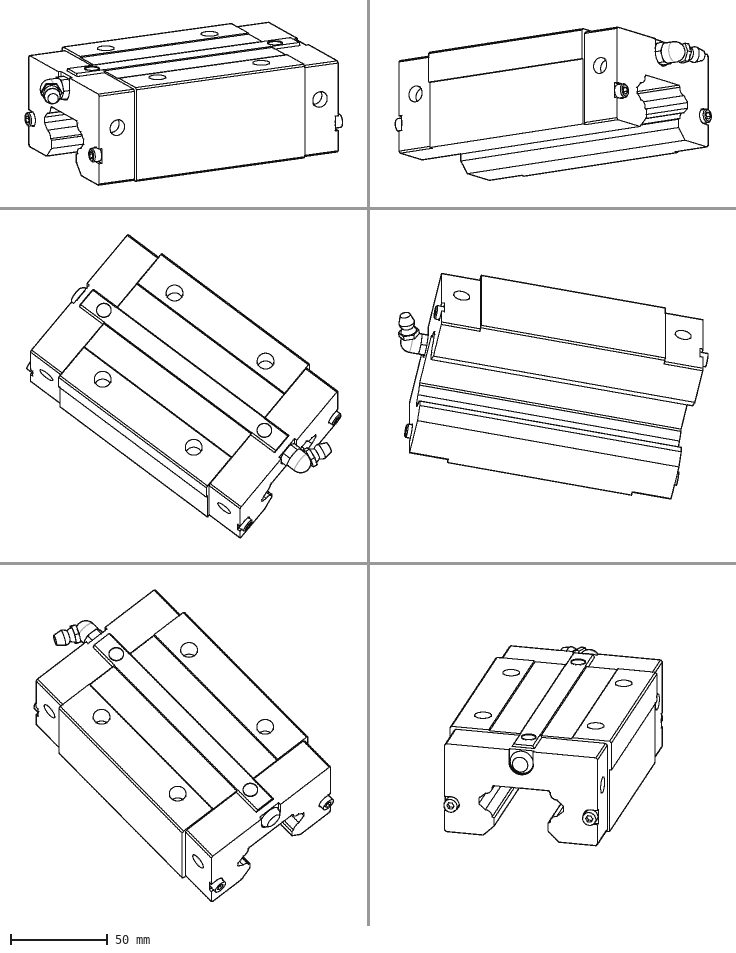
import cadquery as cq
import math


block_width = 86.0
block_length = 97.2
block_height = 50.5
edge_chamfer = 1.0
relief_depth = 1.0
relief_top = 34.5
land_inner_x = 22.3
recess_depth = 0.5
ridge_half_width = 5.2
recess_slope = 0.5

cap_width = 81.7
cap_height = 49.1
cap_end_y = 69.0
seal_thickness = 4.7
cap_ridge_base_half_width = 6.0
cap_ridge_top_half_width = 5.0

slot_top_z = 28.2
slot_top_half_width = 14.6
slot_lip_half_width = 15.4
slot_lip_chamfer = 1.0
groove_mid_z = 18.9
groove_half_width = 22.5
groove_flat_half_height = 1.5
shelf_offset = 4.5
bulge_radius = 3.6
slot_lower_half_width = 14.3
slot_lower_top_z = 10.0
slot_mouth_z = 5.7
slot_mouth_half_width = 20.1

mount_spacing = 60.0
mount_diameter = 8.7
mount_depth = 12.6
drill_angle = 118
side_port_diameter = 8.3
side_port_y = 58.5
side_port_z = 29.9
side_port_depth = 6.3
top_port_diameter = 7.5
top_port_y = 52.9
top_port_depth = 0.5

screw_x = 37.0
screw_z = 15.7
screw_diameter = 7.1
screw_end_y = 71.7
screw_chamfer = 0.6
screw_seat_diameter = 7.9
screw_seat_depth = 1.5
socket_across_corners = 3.8
socket_depth = 2.4

lube_z = 42.2
lube_pocket_radius = 6.5
lube_pocket_depth = 1.4
lube_floor_y = cap_end_y - lube_pocket_depth
plug_radius = 6.1
plug_height = 3.5
plug_top_radius = 4.1
plug_crown_radius = 5.7
elbow_hex_across_corners = 12.1
elbow_hex_length = 4.4
elbow_radius = 5.3
elbow_length = 4.7
arm_angle = 22
collar_start = 4.5
collar_end = 7.0
collar_across_corners = 10.7
neck_root_radius = 4.1
neck_end_radius = 3.0
neck_end = 9.6
head_radius = 4.1
head_shoulder = 10.7
head_shoulder_radius = 3.8
head_cone_start = 12.5
tip_radius = 2.7
tip_end = 16.8


def along_y(outline, y_start, y_end):
    """Extrude an XZ outline, given as a function of a workplane, between two Y positions."""
    plane = cq.Workplane("XZ", origin=(0, y_end, 0))
    return outline(plane).close().extrude(y_end - y_start)


def block_outline(plane):
    half = block_width / 2
    recess_z = block_height - recess_depth
    return plane.polyline([
        (-half + relief_depth, 0),
        (half - edge_chamfer, 0),
        (half, edge_chamfer),
        (half, block_height - edge_chamfer),
        (half - edge_chamfer, block_height),
        (land_inner_x, block_height),
        (land_inner_x - recess_slope, recess_z),
        (ridge_half_width + recess_slope, recess_z),
        (ridge_half_width, block_height),
        (-ridge_half_width, block_height),
        (-ridge_half_width - recess_slope, recess_z),
        (-land_inner_x + recess_slope, recess_z),
        (-land_inner_x, block_height),
        (-half + edge_chamfer, block_height),
        (-half, block_height - edge_chamfer),
        (-half, relief_top),
        (-half + relief_depth, relief_top),
    ])


def cap_ridge_outline(plane):
    return plane.polyline([
        (-cap_ridge_base_half_width, cap_height),
        (cap_ridge_base_half_width, cap_height),
        (cap_ridge_top_half_width, block_height),
        (-cap_ridge_top_half_width, block_height),
    ])


def make_body():
    """Carriage block with an end cap and ridge on each end."""
    block = along_y(block_outline, -block_length / 2, block_length / 2)
    caps = cq.Workplane("XY").box(cap_width, 2 * cap_end_y, cap_height, centered=(True, True, False))
    caps = caps.edges("|Y").chamfer(edge_chamfer)
    ridge_end = cap_end_y - seal_thickness
    ridge = along_y(cap_ridge_outline, -ridge_end, ridge_end)
    gap = cq.Workplane("XY").box(block_width, block_length, 2 * block_height)
    return block.union(caps).union(ridge.cut(gap))


def make_slot():
    """Rail slot along the whole length, from its +X half and the mirror image."""
    shelf_top = groove_mid_z + shelf_offset
    shelf_bottom = groove_mid_z - shelf_offset
    bulge_x = slot_lip_half_width + bulge_radius
    bulge_mid_x = bulge_x - bulge_radius * math.sqrt(0.5)
    bulge_mid_rise = bulge_radius * (1 - math.sqrt(0.5))
    half = (
        cq.Workplane("XZ", origin=(0, cap_end_y, 0))
        .moveTo(0, 0)
        .lineTo(slot_mouth_half_width, 0)
        .lineTo(slot_lower_half_width, slot_mouth_z)
        .lineTo(slot_lower_half_width, slot_lower_top_z)
        .lineTo(slot_lip_half_width, shelf_bottom - bulge_radius)
        .threePointArc((bulge_mid_x, shelf_bottom - bulge_mid_rise), (bulge_x, shelf_bottom))
        .lineTo(groove_half_width, groove_mid_z - groove_flat_half_height)
        .lineTo(groove_half_width, groove_mid_z + groove_flat_half_height)
        .lineTo(bulge_x, shelf_top)
        .threePointArc((bulge_mid_x, shelf_top + bulge_mid_rise),
                       (slot_lip_half_width, shelf_top + bulge_radius))
        .lineTo(slot_lip_half_width, slot_top_z - slot_lip_chamfer)
        .lineTo(slot_top_half_width, slot_top_z)
        .lineTo(0, slot_top_z)
        .close()
        .extrude(2 * cap_end_y)
    )
    return with_mirror(half, "YZ")


def make_mount_hole():
    """Blind drilled hole with a conical bottom, its mouth centred on the mounting face."""
    radius = mount_diameter / 2
    cone_depth = radius / math.tan(math.radians(drill_angle / 2))
    return (
        cq.Workplane("XZ", origin=(0, 0, block_height))
        .polyline([(0, 0), (radius, 0), (radius, -mount_depth), (0, -mount_depth - cone_depth)])
        .close()
        .revolve(360, (0, 0), (0, 1))
    )


def make_cap_ports():
    """Shallow round recesses on the ridges and blind ports in both cap sides."""
    ports = cq.Workplane("XY")
    for end in (1, -1):
        top = cq.Workplane("XY", origin=(0, end * top_port_y, block_height - top_port_depth))
        ports = ports.add(top.circle(top_port_diameter / 2).extrude(top_port_depth))
        for side in (1, -1):
            face = cq.Workplane("YZ", origin=(side * cap_width / 2, end * side_port_y, side_port_z))
            ports = ports.add(face.circle(side_port_diameter / 2).extrude(-side * side_port_depth))
    return ports


def make_screw_seat():
    """Round counterbore at +X on the rear cap, open to the cap side."""
    plane = cq.Workplane("XZ", origin=(screw_x, cap_end_y, screw_z))
    side_run = cap_width / 2 - screw_x
    seat = plane.circle(screw_seat_diameter / 2).extrude(screw_seat_depth)
    opening = plane.center(side_run / 2, 0).rect(side_run, screw_seat_diameter).extrude(screw_seat_depth)
    return seat.union(opening)


def make_screw():
    """Sharp-edged socket head at +X on the rear cap."""
    head_length = screw_end_y - cap_end_y + screw_seat_depth
    plane = cq.Workplane("XZ", origin=(screw_x, screw_end_y, screw_z))
    head = plane.circle(screw_diameter / 2).extrude(head_length)
    return head.cut(plane.polygon(6, socket_across_corners).extrude(socket_depth))


def make_lube_pocket():
    """Round-bottomed pocket in the rear face, open to the cap top."""
    plane = cq.Workplane("XZ", origin=(0, cap_end_y, lube_z))
    rise = cap_height - lube_z
    bottom = plane.circle(lube_pocket_radius).extrude(lube_pocket_depth)
    opening = plane.center(0, rise / 2).rect(2 * lube_pocket_radius, rise).extrude(lube_pocket_depth)
    return bottom.union(opening)


def make_plug():
    """Flat-topped button with a rounded edge on the rear pocket floor."""
    return (
        cq.Workplane("XY", origin=(0, lube_floor_y, lube_z))
        .lineTo(plug_radius, 0)
        .threePointArc((plug_crown_radius, plug_height / 2), (plug_top_radius, plug_height))
        .lineTo(0, plug_height)
        .close()
        .revolve(360, (0, 0), (0, 1))
    )


def make_nipple():
    """Hexagon, round elbow and ball-ended nipple leaning toward +X."""
    hexagon_end_y = -lube_floor_y - elbow_hex_length
    elbow_y = hexagon_end_y - elbow_length
    hexagon = (
        cq.Workplane("XZ", origin=(0, -lube_floor_y, lube_z))
        .polygon(6, elbow_hex_across_corners)
        .extrude(elbow_hex_length)
    )
    elbow = (
        cq.Workplane("XZ", origin=(0, hexagon_end_y, lube_z))
        .circle(elbow_radius)
        .extrude(elbow_length)
    )
    ball = cq.Workplane("XY").sphere(elbow_radius)

    collar = (
        cq.Workplane("YZ", origin=(collar_start, 0, 0))
        .polygon(6, collar_across_corners)
        .extrude(collar_end - collar_start)
    )
    stem = (
        cq.Workplane("XY")
        .moveTo(collar_start, 0)
        .lineTo(collar_start, neck_root_radius)
        .lineTo(collar_end, neck_root_radius)
        .lineTo(neck_end, neck_end_radius)
        .threePointArc((head_shoulder, head_shoulder_radius), (head_cone_start, head_radius))
        .lineTo(tip_end, tip_radius)
        .lineTo(tip_end, 0)
        .close()
        .revolve(360, (0, 0), (1, 0))
    )
    arm = ball.union(stem).union(collar).rotate((0, 0, 0), (0, 0, 1), -arm_angle)
    return hexagon.union(elbow).union(arm.translate((0, elbow_y, lube_z)))


def with_mirror(solid, plane):
    """The solid together with its mirror image."""
    return solid.union(solid.mirror(plane))


body = make_body().cut(make_slot())

for mount_x in (-mount_spacing / 2, mount_spacing / 2):
    for mount_y in (-mount_spacing / 2, mount_spacing / 2):
        body = body.cut(make_mount_hole().translate((mount_x, mount_y, 0)))

for port in make_cap_ports().vals():
    body = body.cut(cq.Workplane(port))

body = body.cut(with_mirror(make_lube_pocket(), "XZ"))
body = body.cut(with_mirror(with_mirror(make_screw_seat(), "XZ"), "YZ"))

rear_screw = make_screw()
front_screw = rear_screw.mirror("XZ").faces("<Y").edges("%CIRCLE").chamfer(screw_chamfer)
screws = with_mirror(rear_screw.union(front_screw), "YZ")

result = body.union(screws).union(make_plug()).union(make_nipple())